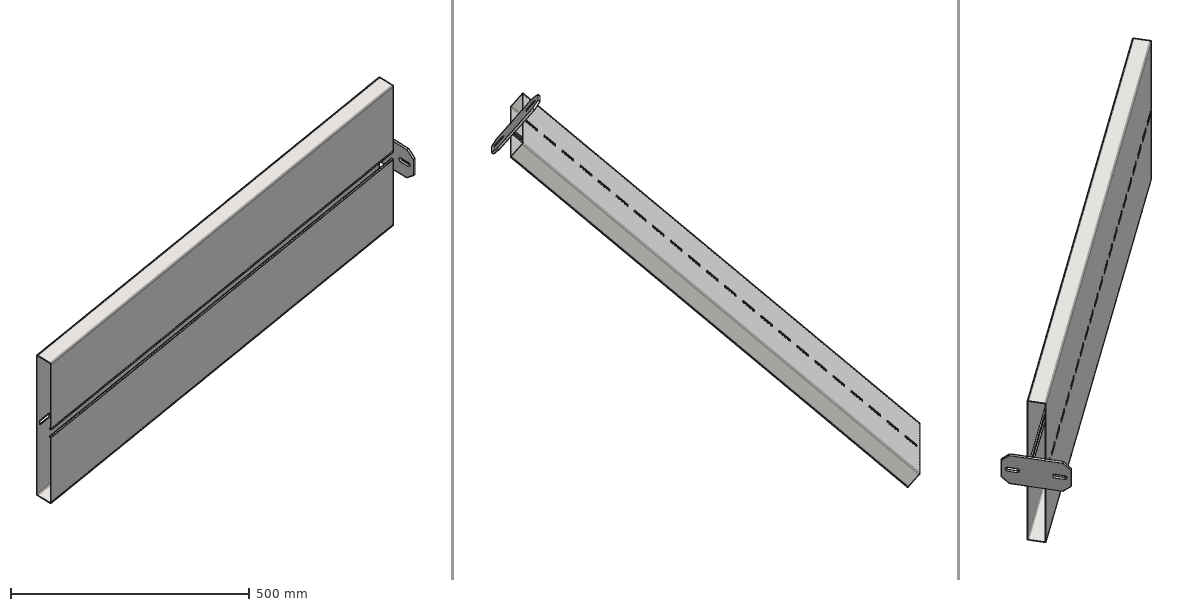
import cadquery as cq

TOTAL_LENGTH = 1106.0
PANEL_HEIGHT = 414.0
PANEL_WIDTH = 41.0

SHEET = 2.0
BEND_RADIUS = 3.1
GAP_HEIGHT = 22.0
LIP_DEPTH = 5.0
SLOT_COUNT = 22
SLOT_LENGTH = 31.0
SLOT_HEIGHT = 11.0

PLATE_WIDTH = 150.0
PLATE_HEIGHT = 83.0
PLATE_THICKNESS = 5.0
PLATE_CHAMFER = 18.0
MOUNT_SLOT_LENGTH = 30.0
MOUNT_SLOT_HEIGHT = 11.0
MOUNT_SLOT_SPACING = 102.0

PANEL_LENGTH = TOTAL_LENGTH - PLATE_THICKNESS
SLOT_PITCH = PANEL_LENGTH / SLOT_COUNT


def bar(width, height, length):
    """Block centred on the Y axis, running from Y = 0 towards +Y."""
    return cq.Workplane("XY").box(width, length, height, centered=(True, False, True))


def make_panel():
    """Sheet folded into a flat box section, open along the middle of its +X wall."""
    outer = bar(PANEL_WIDTH, PANEL_HEIGHT, PANEL_LENGTH).edges("|Y").fillet(BEND_RADIUS)
    inner = bar(PANEL_WIDTH - 2 * SHEET, PANEL_HEIGHT - 2 * SHEET, PANEL_LENGTH)
    inner = inner.edges("|Y").fillet(BEND_RADIUS - SHEET)
    panel = outer.cut(inner)

    lips = bar(LIP_DEPTH, GAP_HEIGHT + 2 * SHEET, PANEL_LENGTH)
    lips = lips.translate(((PANEL_WIDTH - LIP_DEPTH) / 2, 0, 0))
    gap = bar(PANEL_WIDTH, GAP_HEIGHT, PANEL_LENGTH).translate((PANEL_WIDTH / 2, 0, 0))
    panel = panel.union(lips).cut(gap)

    slots = (
        cq.Workplane("YZ", origin=(-PANEL_WIDTH / 2, PANEL_LENGTH / 2, 0))
        .rarray(SLOT_PITCH, 11, SLOT_COUNT, 1)
        .rect(SLOT_LENGTH, SLOT_HEIGHT)
        .extrude(SHEET)
    )
    return panel.cut(slots)


def make_end_plate():
    """Plate with chamfered corners and two mounting slots, closing the +Y end."""
    plate = bar(PLATE_WIDTH, PLATE_HEIGHT, PLATE_THICKNESS).edges("|Y").chamfer(PLATE_CHAMFER)
    slots = (
        cq.Workplane("XZ")
        .rarray(MOUNT_SLOT_SPACING, 11, 2, 1)
        .slot2D(MOUNT_SLOT_LENGTH, MOUNT_SLOT_HEIGHT)
        .extrude(-PLATE_THICKNESS)
    )
    return plate.cut(slots).translate((0, PANEL_LENGTH, 0))


panel = make_panel()
end_plate = make_end_plate()

result = cq.Compound.makeCompound([panel.val(), end_plate.val()])